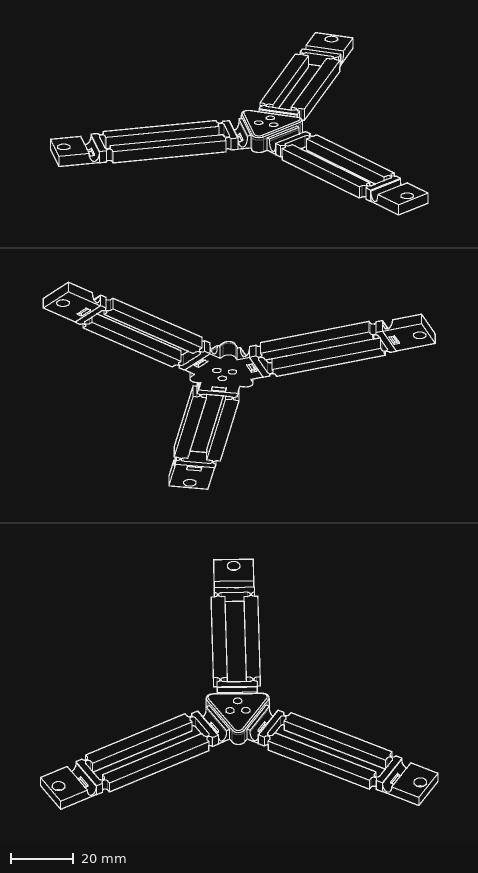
import cadquery as cq
import math

OVERALL_SPAN = 126.7
LOWER_ARM_SLOPE = 30.2
ARM_TURNS = (0, 90 + LOWER_ARM_SLOPE, -90 - LOWER_ARM_SLOPE)

HUB_HEIGHT = 5.6
HUB_SHOULDER = 4.4
HUB_INRADIUS = 6.8
HUB_CORNER_RADIUS = 2.3
HUB_DRAFT_WIDTH = 0.3
HUB_RIM_WIDTH = 0.5
HUB_RIM_HEIGHT = 0.4
HUB_HOLE_DIAMETER = 2.7
HUB_HOLE_DISTANCE = 2.9

HUB_NOTCH_START = 8.0
INNER_BAR_START = 11.0
CROSSBAR_LENGTH = 2.3
BEAM_GAP = 1.9
OUTER_BAR_END = 56.4
PAD_NOTCH_END = 59.7
PAD_HOLE_DISTANCE = 66.6

PAD_WIDTH = 12.7
PAD_HEIGHT = 3.7
PAD_HOLE_DIAMETER = 4.0
CROSSBAR_WIDTH = 12.9
FRAME_HEIGHT = 4.0
BEAM_WIDTH = 4.4
BEAM_OUTER_EDGE = 7.5
BEAM_OFFSET = BEAM_OUTER_EDGE - BEAM_WIDTH / 2
NECK_WIDTH = 0.4
NECK_END_WIDTH = 2.2

SLOPE = math.radians(LOWER_ARM_SLOPE)
PAD_END = (OVERALL_SPAN - PAD_WIDTH * math.sin(SLOPE)) / (2 * math.cos(SLOPE))

HINGE_FLOOR = 0.6
WINDOW_WIDTH = 4.5
WINDOW_LENGTH = 1.9


def block(width, start, end, height):
    """Block on the base plane, centred on the +Y arm, between two distances."""
    return cq.Workplane("XY").box(width, end - start, height, (True, False, False)).translate((0, start, 0))


def hinge_cutter(start, end):
    """Notch with a half-ellipse bottom across the arm, plus the window through its floor."""
    half_length = (end - start) / 2
    middle = (start + end) / 2
    notch = (
        cq.Workplane("YZ")
        .moveTo(start, HUB_HEIGHT)
        .lineTo(start, PAD_HEIGHT)
        .ellipseArc(half_length, PAD_HEIGHT - HINGE_FLOOR, 180, 360, startAtCurrent=True)
        .lineTo(end, HUB_HEIGHT)
        .close()
        .extrude(PAD_WIDTH)
        .translate((-PAD_WIDTH / 2, 0, 0))
    )
    window = block(WINDOW_WIDTH, middle - WINDOW_LENGTH / 2, middle + WINDOW_LENGTH / 2, HUB_HEIGHT)
    return notch.union(window)


def on_arm(body, turn):
    """Copy of a body made on the +Y arm, turned to another arm."""
    return body.rotate((0, 0, 0), (0, 0, 1), turn)


def rounded_triangle(inradius, corner_radius, height):
    """Equilateral prism with rounded corners and one flat side facing +Y."""
    prism = cq.Workplane("XY").polygon(3, 4 * inradius).extrude(height)
    return prism.rotate((0, 0, 0), (0, 0, 1), -90).edges("|Z").fillet(corner_radius)


def make_hub():
    """Bevelled triangular cap with three bolt holes and a hinge on each flat side."""
    hub = rounded_triangle(HUB_INRADIUS, HUB_CORNER_RADIUS, HUB_HEIGHT)
    hub = hub.faces(">Z").chamfer(HUB_HEIGHT - HUB_SHOULDER, HUB_DRAFT_WIDTH)
    hub = hub.faces(">Z").chamfer(HUB_RIM_HEIGHT, HUB_RIM_WIDTH)
    hinge = block(PAD_WIDTH, HUB_INRADIUS / 2, INNER_BAR_START, HUB_SHOULDER)
    hinge = hinge.cut(hinge_cutter(HUB_NOTCH_START, INNER_BAR_START))
    hole = (
        cq.Workplane("XY")
        .center(0, HUB_HOLE_DISTANCE)
        .circle(HUB_HOLE_DIAMETER / 2)
        .extrude(HUB_HEIGHT)
    )
    for turn in ARM_TURNS:
        hub = hub.union(on_arm(hinge, turn))
    for turn in ARM_TURNS:
        hub = hub.cut(on_arm(hole, turn))
    return hub


def flexure_neck(x, start):
    """Short waisted neck between a crossbar and a beam."""
    middle = start + BEAM_GAP / 2
    end = start + BEAM_GAP
    half_waist = NECK_WIDTH / 2
    half_end = NECK_END_WIDTH / 2
    return (
        cq.Workplane("XY")
        .moveTo(x - half_end, start)
        .lineTo(x + half_end, start)
        .threePointArc((x + half_waist, middle), (x + half_end, end))
        .lineTo(x - half_end, end)
        .threePointArc((x - half_waist, middle), (x - half_end, start))
        .close()
        .extrude(FRAME_HEIGHT)
    )


def make_frame():
    """Parallelogram linkage: two crossbars joined by two beams on flexure necks."""
    inner_bar_end = INNER_BAR_START + CROSSBAR_LENGTH
    outer_bar_start = OUTER_BAR_END - CROSSBAR_LENGTH
    beam_start = inner_bar_end + BEAM_GAP
    beam_end = outer_bar_start - BEAM_GAP
    frame = block(CROSSBAR_WIDTH, INNER_BAR_START, inner_bar_end, FRAME_HEIGHT)
    frame = frame.union(block(CROSSBAR_WIDTH, outer_bar_start, OUTER_BAR_END, FRAME_HEIGHT))
    beam = block(BEAM_WIDTH, beam_start, beam_end, FRAME_HEIGHT)
    for x in (-BEAM_OFFSET, BEAM_OFFSET):
        frame = frame.union(flexure_neck(x, inner_bar_end))
        frame = frame.union(beam.translate((x, 0, 0)))
        frame = frame.union(flexure_neck(x, beam_end))
    return frame


def make_end_pad():
    """Mounting pad with a bolt hole, hinged to the outer crossbar."""
    pad = block(PAD_WIDTH, OUTER_BAR_END, PAD_END, PAD_HEIGHT)
    pad = pad.cut(hinge_cutter(OUTER_BAR_END, PAD_NOTCH_END))
    hole = (
        cq.Workplane("XY")
        .center(0, PAD_HOLE_DISTANCE)
        .circle(PAD_HOLE_DIAMETER / 2)
        .extrude(PAD_HEIGHT)
    )
    return pad.cut(hole)


hub = make_hub()
frame = make_frame()
end_pad = make_end_pad()
frames = [on_arm(frame, turn).val() for turn in ARM_TURNS]
end_pads = [on_arm(end_pad, turn).val() for turn in ARM_TURNS]

result = cq.Compound.makeCompound([hub.val(), *frames, *end_pads])